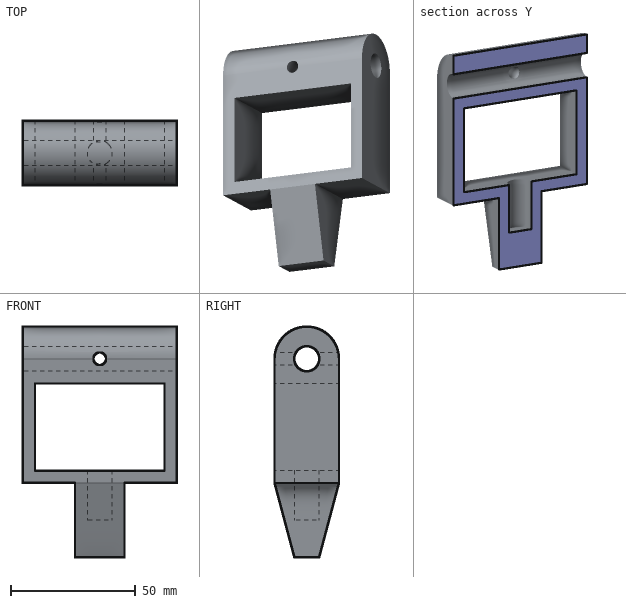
import cadquery as cq

frame_width = 62.0
frame_depth = 26.0
frame_height = 63.0
crown_radius = frame_depth / 2
crown_axis_z = frame_height - crown_radius

wall = 5.0
window_width = frame_width - 2 * wall
window_height = 35.0

tang_width = 20.0
tang_length = 30.0
tang_tip_depth = 10.0

pivot_diameter = 10.0
pin_diameter = 5.0
socket_diameter = 10.0
socket_depth = 20.0


def make_frame():
    """Block with a half-round crown, extruded along X and centred on the origin."""
    half_depth = frame_depth / 2
    return (
        cq.Workplane("YZ", origin=(-frame_width / 2, 0, 0))
        .moveTo(-half_depth, 0)
        .lineTo(half_depth, 0)
        .lineTo(half_depth, crown_axis_z)
        .threePointArc((0, frame_height), (-half_depth, crown_axis_z))
        .close()
        .extrude(frame_width)
    )


def make_tang():
    """Wedge that narrows from the full frame depth down to its flat tip."""
    return (
        cq.Workplane("YZ", origin=(-tang_width / 2, 0, 0))
        .moveTo(-frame_depth / 2, 0)
        .lineTo(frame_depth / 2, 0)
        .lineTo(tang_tip_depth / 2, -tang_length)
        .lineTo(-tang_tip_depth / 2, -tang_length)
        .close()
        .extrude(tang_width)
    )


def make_window():
    """Rectangular opening through the frame along Y, standing on the floor."""
    return cq.Workplane("XY", origin=(0, 0, wall)).box(
        window_width, frame_depth, window_height, centered=(True, True, False)
    )


def make_pivot_hole():
    """Bore along the crown axis, through the full width."""
    return (
        cq.Workplane("YZ", origin=(-frame_width / 2, 0, crown_axis_z))
        .circle(pivot_diameter / 2)
        .extrude(frame_width)
    )


def make_pin_hole():
    """Cross hole along Y that meets the pivot bore at mid width."""
    return (
        cq.Workplane("XZ", origin=(0, frame_depth / 2, crown_axis_z))
        .circle(pin_diameter / 2)
        .extrude(frame_depth)
    )


def make_socket():
    """Blind hole from the window floor down into the tang."""
    return (
        cq.Workplane("XY", origin=(0, 0, wall))
        .circle(socket_diameter / 2)
        .extrude(-socket_depth)
    )


result = (
    make_frame()
    .union(make_tang())
    .cut(make_window())
    .cut(make_pivot_hole())
    .cut(make_pin_hole())
    .cut(make_socket())
)